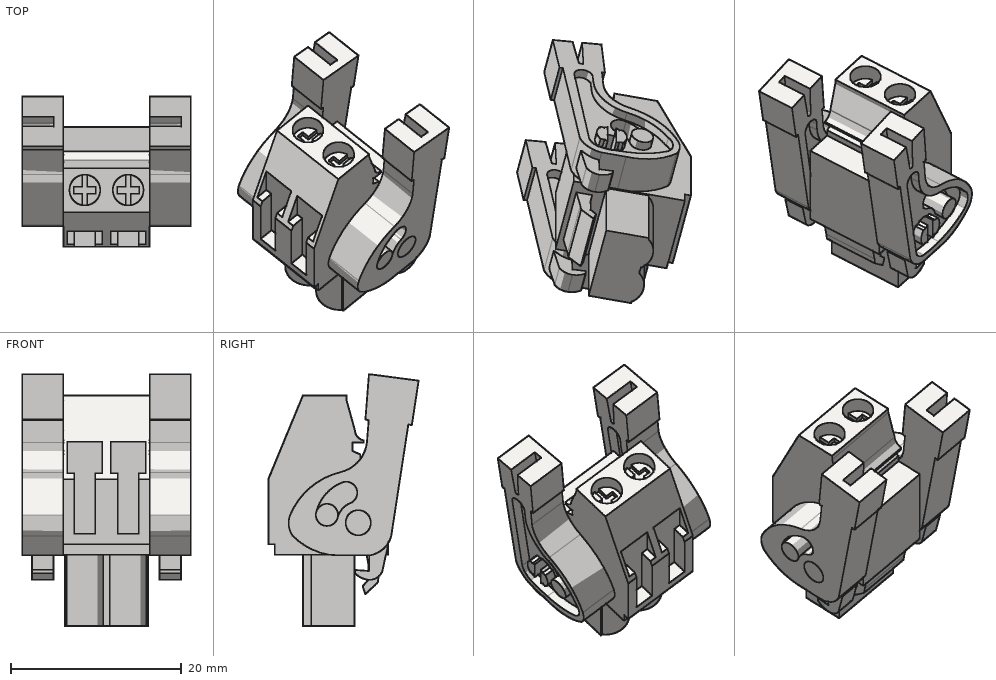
import cadquery as cq
import math


HOUSING_WIDTH = 10.15
HOUSING_BASE_Z = 8.35
HOUSING_TOP_Z = 27.13
TOP_FRONT_Y = 4.05
TOP_REAR_Y = 9.22
CATCH_TIP_Y = 11.25
CATCH_UNDERSIDE_Z = 21.6
CATCH_NOTCH_Y = 9.93
FRONT_SLOPE_Z = 17.3
FRONT_NOTCH_DEPTH = 0.75
FRONT_NOTCH_TOP_Z = 9.6
REAR_WALL_Y = 10.82
LEDGE_Y = 14.1
LEDGE_Z = 19.33

POLE_PITCH = 5.1
POLE_CENTERS = (-POLE_PITCH / 2, POLE_PITCH / 2)

POCKET_BACK_Y = 1.8
POCKET_TOP_Z = 21.67
POCKET_SHELF_Z = 18.0
POCKET_BASE_Z = 10.85
POCKET_WIDTH = 4.12
POCKET_SLOT_WIDTH = 2.43

SCREW_RADIUS = 1.8
SCREW_Y = 6.67
SCREW_SINK = 2.02
SCREW_LENGTH = 3.55
SCREW_TOP_Z = HOUSING_TOP_Z - SCREW_SINK
SCREW_BASE_Z = SCREW_TOP_Z - SCREW_LENGTH
CROSS_DEPTH = 0.6
CROSS_LONG_WIDTH = 0.62
CROSS_SHORT_WIDTH = 0.83
CROSS_SHORT_LENGTH = 2.55

PLUG_WIDTH = 9.78
PLUG_REAR_Y = 10.17
PLUG_FRONT_Y = 5.05
PLUG_BULGE = 0.98
PLUG_BULGE_WIDTH = 4.3

LATCH_WIDTH = 7.12
LATCH_FRONT_Y = 11.77

LEVER_WIDTH = 4.85
LEVER_STARTS = (-HOUSING_WIDTH / 2 - LEVER_WIDTH, HOUSING_WIDTH / 2)
RECESS_DEPTH = 1.15
GRIP_SLOT_DEPTH = 3.7
HOOK_WIDTH = 2.58
HOOK_TIP_Y = 10.2
HOOK_ROOT_Z = 9.5
GRIP_TOP_Z = 29.65
CAM_BASE_Z = 8.3
CAM_FLAT_FRONT_Y = 8.9
CAM_FLAT_REAR_Y = 11.85

PIVOT_Y = 10.59
PIVOT_Z = 12.15
PIVOT_RADIUS = 1.48
PIVOT_SLOT_WIDTH = 1.05
LIP_RADIUS = 1.8
LIP_HEIGHT = 2.37
GUIDE_RADIUS = 1.3
GUIDE_ORBIT = 3.8
GUIDE_ANGLE = 14.0
GUIDE_TRAVEL = 54.0


def orbit_point(radius, angle):
    """Point around the pivot, with the angle in degrees rising from the -Y direction."""
    turn = math.radians(angle)
    return (PIVOT_Y - radius * math.cos(turn), PIVOT_Z + radius * math.sin(turn))


def plane_at(x):
    """Workplane in Y and Z at the given X, with its normal along +X."""
    return cq.Workplane("YZ", origin=(x, 0, 0))


def box_between(x_middle, width, y_range, z_range):
    """Box centred on x_middle that spans the given ranges in Y and Z."""
    y_low, y_high = y_range
    z_low, z_high = z_range
    return (
        cq.Workplane("XY", origin=(x_middle, (y_low + y_high) / 2, z_low))
        .rect(width, y_high - y_low)
        .extrude(z_high - z_low)
    )


def housing_block():
    """Main block: sloped front, catch on the rear wall and a ledge below it."""
    return (
        plane_at(-HOUSING_WIDTH / 2)
        .moveTo(FRONT_NOTCH_DEPTH, HOUSING_BASE_Z)
        .lineTo(FRONT_NOTCH_DEPTH, FRONT_NOTCH_TOP_Z)
        .lineTo(0, FRONT_NOTCH_TOP_Z)
        .lineTo(0, FRONT_SLOPE_Z)
        .lineTo(TOP_FRONT_Y, HOUSING_TOP_Z)
        .lineTo(TOP_REAR_Y, HOUSING_TOP_Z)
        .lineTo(TOP_REAR_Y, 26.57)
        .lineTo(10.2, 23.05)
        .threePointArc((10.55, 22.2), (CATCH_TIP_Y, 21.85))
        .lineTo(CATCH_TIP_Y, CATCH_UNDERSIDE_Z)
        .lineTo(CATCH_NOTCH_Y, CATCH_UNDERSIDE_Z)
        .lineTo(CATCH_NOTCH_Y, 20.6)
        .lineTo(REAR_WALL_Y, 20.2)
        .lineTo(REAR_WALL_Y, LEDGE_Z)
        .lineTo(LEDGE_Y, LEDGE_Z)
        .lineTo(LEDGE_Y, HOUSING_BASE_Z)
        .close()
        .extrude(HOUSING_WIDTH)
    )


def latch_arm():
    """Arm that hangs from the rear of the housing and ends in a slanted tab."""
    return (
        plane_at(-LATCH_WIDTH / 2)
        .moveTo(11.55, HOUSING_BASE_Z)
        .lineTo(LATCH_FRONT_Y, 7.2)
        .lineTo(LATCH_FRONT_Y, 5.45)
        .lineTo(11.1, 4.68)
        .lineTo(11.42, 3.75)
        .lineTo(12.9, 5.13)
        .lineTo(13.02, 6.0)
        .lineTo(13.5, HOUSING_BASE_Z)
        .close()
        .extrude(LATCH_WIDTH)
    )


def plug():
    """Plug below the housing, with one bulged cell front per pole."""
    half_bulge = PLUG_BULGE_WIDTH / 2
    outline = (
        cq.Workplane("XY")
        .moveTo(-PLUG_WIDTH / 2, PLUG_REAR_Y)
        .lineTo(-PLUG_WIDTH / 2, PLUG_FRONT_Y)
    )
    for x in POLE_CENTERS:
        outline = outline.lineTo(x - half_bulge, PLUG_FRONT_Y).threePointArc(
            (x, PLUG_FRONT_Y - PLUG_BULGE), (x + half_bulge, PLUG_FRONT_Y)
        )
    return (
        outline.lineTo(PLUG_WIDTH / 2, PLUG_FRONT_Y)
        .lineTo(PLUG_WIDTH / 2, PLUG_REAR_Y)
        .close()
        .extrude(HOUSING_BASE_Z)
    )


def wire_pocket(x):
    """T-shaped pocket in the front of the housing."""
    depth_range = (0, POCKET_BACK_Y)
    head = box_between(x, POCKET_WIDTH, depth_range, (POCKET_SHELF_Z, POCKET_TOP_Z))
    slot = box_between(x, POCKET_SLOT_WIDTH, depth_range, (POCKET_BASE_Z, POCKET_SHELF_Z))
    return head.union(slot)


def screw_well(x):
    """Round well from the housing top down to the foot of the screw."""
    return (
        cq.Workplane("XY", origin=(x, SCREW_Y, SCREW_BASE_Z))
        .circle(SCREW_RADIUS)
        .extrude(HOUSING_TOP_Z - SCREW_BASE_Z)
    )


def cylinder_along_x(x_start, length, center, radius):
    """Cylinder along X around the given centre in Y and Z."""
    return plane_at(x_start).center(*center).circle(radius).extrude(length)


def guide_pin(x_start):
    """Pin through the full width of one lever."""
    center = orbit_point(GUIDE_ORBIT, GUIDE_ANGLE)
    return cylinder_along_x(x_start, LEVER_WIDTH, center, GUIDE_RADIUS)


def pivot(x_start):
    """Pivot through the full width of one lever."""
    return cylinder_along_x(x_start, LEVER_WIDTH, (PIVOT_Y, PIVOT_Z), PIVOT_RADIUS)


def pivot_bar(x_start, y_size, z_size, length):
    """Rectangular bar along X, centred on the pivot axis."""
    return plane_at(x_start).center(PIVOT_Y, PIVOT_Z).rect(y_size, z_size).extrude(length)


def split_snap_pivot(x_start):
    """Pivot whose slotted end carries snap lips that sit on the floor of the lever recess."""
    lip_disc = cylinder_along_x(x_start, RECESS_DEPTH, (PIVOT_Y, PIVOT_Z), LIP_RADIUS)
    lip_band = pivot_bar(x_start, 2 * LIP_RADIUS, LIP_HEIGHT, RECESS_DEPTH)
    slot = pivot_bar(x_start, PIVOT_SLOT_WIDTH, 2 * LIP_RADIUS, LEVER_WIDTH)
    return pivot(x_start).union(lip_disc.intersect(lip_band)).cut(slot)


def make_housing():
    left_start, right_start = LEVER_STARTS
    body = housing_block().union(latch_arm()).union(plug())
    for x in POLE_CENTERS:
        body = body.cut(wire_pocket(x)).cut(screw_well(x))
    for x_start in LEVER_STARTS:
        body = body.union(guide_pin(x_start))
    return body.union(split_snap_pivot(left_start)).union(pivot(right_start))


def make_screw(x):
    """Screw with a cross recess whose long arms run out through its rim."""
    cross_base = cq.Workplane("XY", origin=(x, SCREW_Y, SCREW_TOP_Z - CROSS_DEPTH))
    long_arm = cross_base.rect(CROSS_LONG_WIDTH, 2 * SCREW_RADIUS).extrude(CROSS_DEPTH)
    short_arm = cross_base.rect(CROSS_SHORT_LENGTH, CROSS_SHORT_WIDTH).extrude(CROSS_DEPTH)
    return (
        cq.Workplane("XY", origin=(x, SCREW_Y, SCREW_BASE_Z))
        .circle(SCREW_RADIUS)
        .extrude(SCREW_LENGTH)
        .cut(long_arm)
        .cut(short_arm)
    )


def lever_blank(x_start):
    """Lever outline: grip on top, arm, and rounded cam around the pivot."""
    return (
        plane_at(x_start)
        .moveTo(17.7, 28.88)
        .lineTo(11.83, GRIP_TOP_Z)
        .lineTo(11.42, 24.3)
        .lineTo(11.8, 24.2)
        .lineTo(11.6, 21.65)
        .threePointArc((10.65, 19.42), (8.55, 18.12))
        .threePointArc((4.95, 16.3), (2.58, 13.08))
        .threePointArc((2.4, 12.0), (2.85, 10.65))
        .threePointArc((4.42, 9.4), (CAM_FLAT_FRONT_Y, CAM_BASE_Z))
        .lineTo(CAM_FLAT_REAR_Y, CAM_BASE_Z)
        .threePointArc((13.52, 9.07), (14.47, 10.53))
        .lineTo(16.5, 23.7)
        .lineTo(16.9, 23.63)
        .close()
        .extrude(LEVER_WIDTH)
    )


def lever_recess(x_start):
    """Shallow recess that leaves a rim around the arm and the cam."""
    return (
        plane_at(x_start)
        .moveTo(15.1, 22.65)
        .threePointArc((14.0, 24.0), (12.87, 22.77))
        .lineTo(12.78, 21.7)
        .threePointArc((11.68, 18.92), (8.8, 17.08))
        .threePointArc((6.0, 15.83), (3.82, 13.52))
        .threePointArc((3.23, 12.0), (3.82, 10.85))
        .threePointArc((6.52, 9.65), (CAM_FLAT_FRONT_Y, 9.25))
        .threePointArc((10.38, 9.2), (CAM_FLAT_REAR_Y, 9.3))
        .threePointArc((12.75, 9.75), (13.35, 10.8))
        .close()
        .extrude(RECESS_DEPTH)
    )


def grip_slot(x_start):
    """Tapered slot with a round foot in the top of the grip."""
    return (
        plane_at(x_start)
        .moveTo(15.4, GRIP_TOP_Z)
        .lineTo(14.6, 25.32)
        .threePointArc((14.32, 25.1), (14.02, 25.38))
        .lineTo(14.17, GRIP_TOP_Z)
        .close()
        .extrude(GRIP_SLOT_DEPTH)
    )


def guide_slot(x_start):
    """Slot around the pivot in which the guide pin travels."""
    inner = GUIDE_ORBIT - GUIDE_RADIUS
    outer = GUIDE_ORBIT + GUIDE_RADIUS
    end_angle = GUIDE_ANGLE + GUIDE_TRAVEL
    middle_angle = GUIDE_ANGLE + GUIDE_TRAVEL / 2
    cap_angle = math.degrees(2 * math.asin(GUIDE_RADIUS / GUIDE_ORBIT / 2))
    channel = (
        plane_at(x_start)
        .moveTo(*orbit_point(inner, GUIDE_ANGLE))
        .threePointArc(orbit_point(inner, middle_angle), orbit_point(inner, end_angle))
        .threePointArc(orbit_point(GUIDE_ORBIT, end_angle + cap_angle), orbit_point(outer, end_angle))
        .threePointArc(orbit_point(outer, middle_angle), orbit_point(outer, GUIDE_ANGLE))
        .close()
        .extrude(LEVER_WIDTH)
    )
    return channel.union(guide_pin(x_start))


def lever_hook(x_start):
    """Hook below the cam, in the middle of the lever's width."""
    return (
        plane_at(x_start + (LEVER_WIDTH - HOOK_WIDTH) / 2)
        .moveTo(CAM_FLAT_REAR_Y, HOOK_ROOT_Z)
        .lineTo(CAM_FLAT_REAR_Y, 6.5)
        .lineTo(HOOK_TIP_Y, 6.6)
        .lineTo(HOOK_TIP_Y, 6.23)
        .threePointArc((11.0, 5.63), (CAM_FLAT_REAR_Y, 5.43))
        .threePointArc((12.75, 5.65), (13.43, 6.43))
        .lineTo(14.08, HOOK_ROOT_Z)
        .close()
        .extrude(HOOK_WIDTH)
    )


def make_lever(x_start):
    return (
        lever_blank(x_start)
        .union(lever_hook(x_start))
        .cut(lever_recess(x_start))
        .cut(grip_slot(x_start))
        .cut(guide_slot(x_start))
        .cut(pivot(x_start))
    )


housing = make_housing()
screws = [make_screw(x) for x in POLE_CENTERS]
levers = [make_lever(x_start) for x_start in LEVER_STARTS]

result = cq.Compound.makeCompound(
    [housing.val(), *[screw.val() for screw in screws], *[lever.val() for lever in levers]]
)